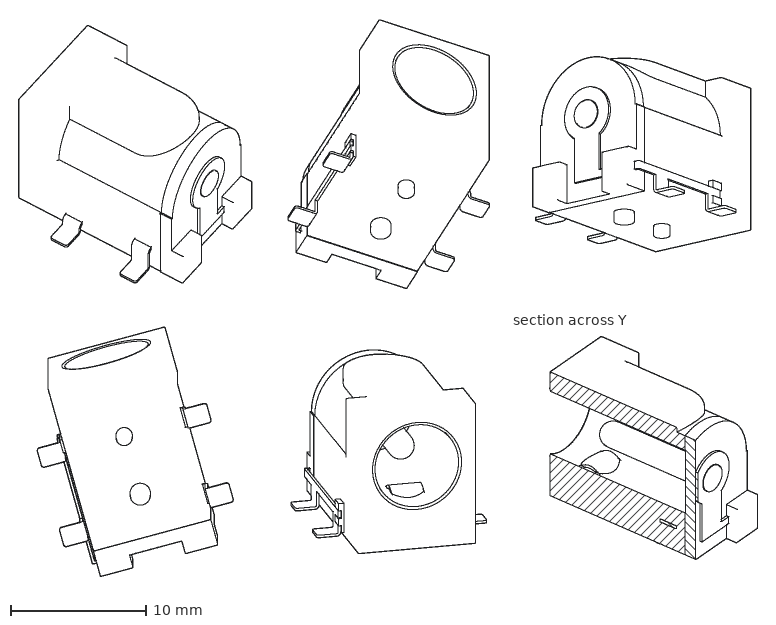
import cadquery as cq
import math


length = 14.8
width = 9.0
height = 11.0
axis_height = 6.5
edge_round = 0.1
barrel_radius = width / 2 - edge_round
housing_length = 12.8
cover_rear = 13.8
front_block_length = 3.6
hump_radius = 3.0
hump_arc_x = 9.5
bore_radius = 3.2
mouth_flare = 0.2
mouth_depth = 0.07
cover_foot_height = 3.0
cover_foot_width = 2.5

pegs = [(5.0, 0.6), (9.5, 0.75)]
peg_length = 0.8
joint_depth = 0.2

sheet = 0.2
lead_face = 4.9
lead_end = 6.5
lead_width = 1.5
front_lead_x = 5.0
rear_lead_x = 11.2
foot_bend = 0.1
shoulder_bend = 0.5
foot_corner = 0.2
front_lead_rise = 1.0
rear_lead_rise = 2.2

strip_bottom = 1.4
strip_top = 2.01
fork_bottom = 0.85
finger_round = 0.1
boss_start = 4.13
boss_width = 1.0
boss_bottom = 0.3
boss_top = 2.59
boss_end = boss_start + boss_width

disc_radius = 2.07
stem_width = 2.31

pin_radius = 1.0
pin_tip = 3.7
rivet_radius = 1.07
rivet_height = 0.19
rivet_round = 0.1

spring_width = 2.45
spring_start = 1.92
crest_x = 3.48
crest_height = 3.88
crest_radius = 1.0
spring_slope = math.radians(29)

side = width / 2
lead_inner = lead_face - sheet
outer_bend = foot_bend + sheet
shoulder_start = lead_face - shoulder_bend
plate_rear = cover_rear + sheet
pick_margin = 0.01


def box(x0, x1, y0, y1, z0, z1):
    """Axis-aligned box between two limits on each axis."""
    return cq.Workplane("XY").box(x1 - x0, y1 - y0, z1 - z0, centered=False).translate((x0, y0, z0))


def rod(radius, x0, x1):
    """Cylinder along X on the bore axis."""
    return cq.Workplane("YZ", origin=(x0, 0, axis_height)).circle(radius).extrude(x1 - x0)


def round_foot_tip(lead, end):
    """Round the two corners at the tip of a solder foot."""
    tip = cq.selectors.BoxSelector(
        (0, end - pick_margin, -sheet),
        (length, end + pick_margin, 2 * sheet),
    )
    return lead.edges("|Z").edges(tip).fillet(foot_corner)



def make_housing():
    base = box(0, housing_length, -side, side, 0, axis_height)
    front_block = box(0, front_block_length, -side, side, 0, height)
    hump = box(0, hump_arc_x, -hump_radius, hump_radius, axis_height, height).union(
        cq.Workplane("XY", origin=(hump_arc_x, 0, axis_height))
        .circle(hump_radius)
        .extrude(height - axis_height)
    )
    body = base.union(front_block).union(hump)
    body = body.faces(">Z or <Z or <X or >Y or <Y").edges().fillet(edge_round)
    body = body.union(rod(barrel_radius, front_block_length, housing_length))

    bore = rod(bore_radius, 0, housing_length)
    mouth = cq.Solid.makeCone(
        bore_radius + mouth_flare,
        bore_radius,
        mouth_depth,
        cq.Vector(0, 0, axis_height),
        cq.Vector(1, 0, 0),
    )
    body = body.cut(bore).cut(cq.Workplane(mouth))

    for x, radius in pegs:
        peg = cq.Workplane("XY", origin=(x, 0, -peg_length)).circle(radius).extrude(peg_length + joint_depth)
        body = body.union(peg.faces("<Z").edges().fillet(edge_round))
    return body.union(make_boss())


def make_boss():
    """Side boss whose two ribs hold the fork of the rear contact."""
    root = side - joint_depth
    pad = box(boss_start, boss_end, root, lead_inner, boss_bottom, boss_top)
    upper_rib = box(boss_start, boss_end, root, lead_face, strip_top, boss_top)
    lower_rib = box(boss_start, boss_end, root, lead_face, fork_bottom, strip_bottom)
    return pad.union(upper_rib).union(lower_rib)



def make_cover():
    cover = box(housing_length, cover_rear, -side, side, 0, axis_height)
    cover = cover.union(rod(barrel_radius, housing_length, cover_rear))
    for inner in (-side, side - cover_foot_width):
        foot = box(housing_length, length, inner, inner + cover_foot_width, 0, cover_foot_height)
        cover = cover.union(foot.faces(">X").edges().fillet(edge_round))
    return cover



def make_pin():
    """Round-nosed pin with a rivet head behind the rear contact."""
    pin = rod(pin_radius, pin_tip + pin_radius, plate_rear)
    nose = cq.Workplane("XY").sphere(pin_radius).translate((pin_tip + pin_radius, 0, axis_height))
    head = rod(rivet_radius, plate_rear, plate_rear + rivet_height)
    head = head.faces(">X").edges().fillet(rivet_round)
    return pin.union(nose).union(head)



def make_upright_lead(x):
    """Lead on the +Y side: a flat upright with an outward solder foot."""
    lead = (
        cq.Workplane("YZ", origin=(x - lead_width / 2, 0, 0))
        .moveTo(lead_inner, strip_top)
        .lineTo(lead_face, strip_top)
        .lineTo(lead_face, outer_bend)
        .radiusArc((lead_face + foot_bend, sheet), -foot_bend)
        .lineTo(lead_end, sheet)
        .lineTo(lead_end, 0)
        .lineTo(lead_face + foot_bend, 0)
        .radiusArc((lead_inner, outer_bend), outer_bend)
        .close()
        .extrude(lead_width)
    )
    return round_foot_tip(lead, lead_end)


def make_rear_contact():
    strip_start = front_lead_x - lead_width / 2

    disc = rod(disc_radius, cover_rear, plate_rear)
    stem = box(cover_rear, plate_rear, -stem_width / 2, stem_width / 2, strip_bottom, axis_height)
    arm = box(cover_rear, plate_rear, 0, lead_face, strip_bottom, strip_top)
    strip = box(strip_start, plate_rear, lead_inner, lead_face, strip_bottom, strip_top)
    corner = arm.union(strip).edges("|Z and >X and >Y").fillet(foot_bend)

    contact = disc.union(stem).union(corner)
    for x in (front_lead_x, rear_lead_x):
        contact = contact.union(make_upright_lead(x))

    fork_gap = box(strip_start, boss_end, lead_inner, lead_face, fork_bottom, strip_bottom)
    contact = contact.cut(fork_gap)
    finger_tips = cq.selectors.BoxSelector(
        (strip_start - pick_margin, lead_inner, fork_bottom - pick_margin),
        (strip_start + pick_margin, lead_face, strip_top + pick_margin),
    )
    contact = contact.edges("|Y").edges(finger_tips).fillet(finger_round)
    return contact.cut(rod(pin_radius, cover_rear, plate_rear))



def make_shoulder_lead(x, rise):
    """Lead that leaves the housing wall level, bends down and ends in a solder foot."""
    bend_bottom = rise - shoulder_bend
    lead = (
        cq.Workplane("YZ", origin=(x - lead_width / 2, 0, 0))
        .moveTo(-shoulder_start, rise)
        .radiusArc((-lead_face, bend_bottom), -shoulder_bend)
        .lineTo(-lead_face, outer_bend)
        .radiusArc((-lead_face - foot_bend, sheet), foot_bend)
        .lineTo(-lead_end, sheet)
        .lineTo(-lead_end, 0)
        .lineTo(-lead_face - foot_bend, 0)
        .radiusArc((-lead_inner, outer_bend), -outer_bend)
        .lineTo(-lead_inner, bend_bottom)
        .radiusArc((-shoulder_start, rise - sheet), shoulder_bend - sheet)
        .close()
        .extrude(lead_width)
    )
    return round_foot_tip(lead, -lead_end)


def make_sleeve_spring():
    """Rear lead carried on below the bore, with an arm whose crest rises into the bore."""
    lead = make_shoulder_lead(rear_lead_x, rear_lead_rise)
    root_start = rear_lead_x - lead_width / 2
    root_end = rear_lead_x + lead_width / 2
    root_bottom = rear_lead_rise - sheet
    root = box(root_start, root_end, -shoulder_start, spring_width / 2, root_bottom, rear_lead_rise)

    half_crest = crest_radius * math.sin(spring_slope)
    shoulder_z = crest_height - crest_radius * (1 - math.cos(spring_slope))
    drop = math.tan(spring_slope)
    free_z = shoulder_z - (crest_x - half_crest - spring_start) * drop
    foot_x = crest_x + half_crest + (shoulder_z - rear_lead_rise) / drop
    depth = sheet / math.cos(spring_slope)
    toe_x = foot_x - (depth - sheet) / drop
    arm = (
        cq.Workplane("XZ", origin=(0, spring_width / 2, 0))
        .moveTo(spring_start, free_z)
        .lineTo(crest_x - half_crest, shoulder_z)
        .threePointArc((crest_x, crest_height), (crest_x + half_crest, shoulder_z))
        .lineTo(foot_x, rear_lead_rise)
        .lineTo(root_end, rear_lead_rise)
        .lineTo(root_end, root_bottom)
        .lineTo(toe_x, root_bottom)
        .lineTo(crest_x + half_crest, shoulder_z - depth)
        .threePointArc((crest_x, crest_height - depth), (crest_x - half_crest, shoulder_z - depth))
        .lineTo(spring_start, free_z - depth)
        .close()
        .extrude(spring_width)
    )
    return lead.union(root).union(arm)



pin = make_pin()
rear_contact = make_rear_contact()
front_lead = make_shoulder_lead(front_lead_x, front_lead_rise)
sleeve_spring = make_sleeve_spring()
housing = make_housing().cut(front_lead).cut(sleeve_spring)
cover = make_cover().cut(pin).cut(rear_contact)

result = cq.Compound.makeCompound([
    housing.val(),
    cover.val(),
    pin.val(),
    rear_contact.val(),
    front_lead.val(),
    sleeve_spring.val(),
])